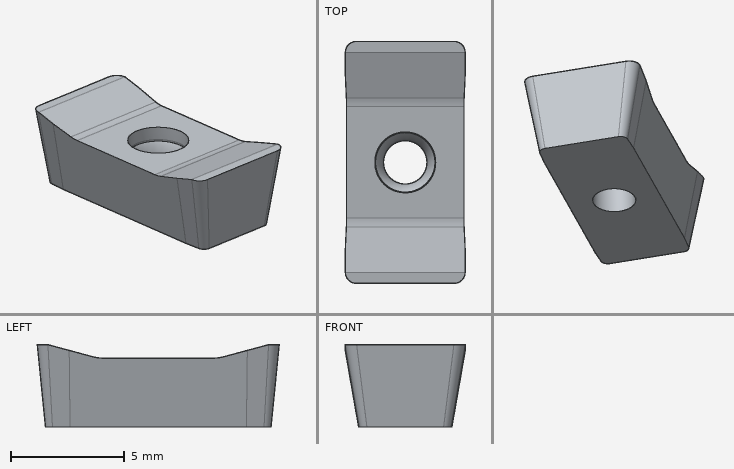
import cadquery as cq
import math

length = 10.7
height = 3.64
base_length = 9.97

side_lean = 9.9
base_half_width = 2.07
top_half_width = base_half_width + height * math.tan(math.radians(side_lean))

base_turn = 3.9
top_turn = 3.94
end_turn_angle = 3.0

base_corner_radius = 0.33
top_corner_radius = 0.5

floor_height = 3.05
land_width = 0.49
ramp_angle = 15.0
ramp_blend_radius = 1.49

bore_diameter = 1.9
rim_diameter = 2.7
seat_diameter = 2.62
rim_depth = 0.59
collar_depth = 0.07
seat_radius = 1.5


def outline(z, full_length, half_width, turn, corner_radius):
    """Rounded plan outline whose long sides taper in towards both ends."""
    half_length = full_length / 2
    inset = (half_length - turn) * math.tan(math.radians(end_turn_angle))
    end_half_width = half_width - inset
    quarter = [(half_width, turn), (end_half_width, half_length)]
    right = [(x, -y) for x, y in reversed(quarter)] + quarter
    left = [(-x, -y) for x, y in right]
    points = [cq.Vector(x, y, z) for x, y in right + left]
    wire = cq.Wire.makePolygon(points, close=True)
    corners = [v for v in wire.Vertices() if abs(abs(v.Y) - half_length) < 1.07e-07]
    return wire.fillet2D(corner_radius, corners)


def make_body():
    base = outline(0, base_length, base_half_width, base_turn, base_corner_radius)
    top = outline(height, length, top_half_width, top_turn, top_corner_radius)
    return cq.Workplane(obj=cq.Solid.makeLoft([base, top], True))


def make_trough():
    """Flat floor with a ramp rising to the land at each end."""
    ramp_top = length / 2 - land_width
    ramp_run = (height - floor_height) / math.tan(math.radians(ramp_angle))
    ramp_foot = ramp_top - ramp_run
    profile = [
        (-ramp_top, height),
        (-ramp_foot, floor_height),
        (ramp_foot, floor_height),
        (ramp_top, height),
    ]
    trough = cq.Workplane("YZ").polyline(profile).close().extrude(top_half_width, both=True)
    return trough.edges("|X and <Z").fillet(ramp_blend_radius)


def make_hole():
    """Through bore with a slightly conical rim and a short collar above a rounded seat."""
    bore = bore_diameter / 2
    seat = seat_diameter / 2
    rim_bottom = floor_height - rim_depth
    seat_top = rim_bottom - collar_depth
    sweep = math.acos(1 - (seat - bore) / seat_radius)
    seat_bottom = seat_top - seat_radius * math.sin(sweep)
    arc_middle = (
        bore + seat_radius * (1 - math.cos(sweep / 2)),
        seat_bottom + seat_radius * math.sin(sweep / 2),
    )
    return (
        cq.Workplane("XZ")
        .moveTo(0, 0)
        .lineTo(bore, 0)
        .lineTo(bore, seat_bottom)
        .threePointArc(arc_middle, (seat, seat_top))
        .lineTo(seat, rim_bottom)
        .lineTo(rim_diameter / 2, floor_height)
        .lineTo(0, floor_height)
        .close()
        .revolve(360, (0, 0), (0, 1))
    )


result = make_body().cut(make_trough()).cut(make_hole())